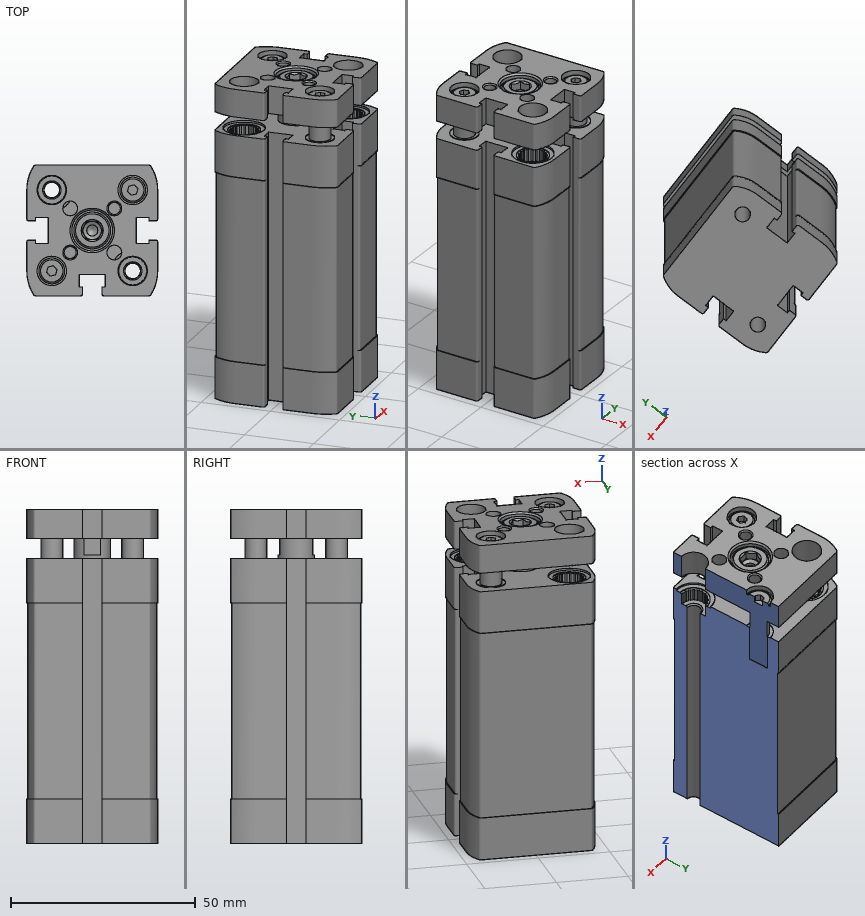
import cadquery as cq
import math

TOTAL_HEIGHT = 90.5
SIDE = 35.5
PLATE_THICKNESS = 8.0
GAP = 5.3
CAP_HEIGHT = 12.0
BARREL_INSET = 0.3

HALF_SIDE = SIDE / 2
PLATE_BOTTOM = TOTAL_HEIGHT - PLATE_THICKNESS
HOUSING_TOP = PLATE_BOTTOM - GAP
BARREL_HEIGHT = HOUSING_TOP - 2 * CAP_HEIGHT

SHOULDER_RADIUS = 11.8
SHOULDER_START = 11.0
CORNER_FILLET = 0.8
SLOT_MOUTH = 5.2
SLOT_WIDTH = 7.0
SLOT_LIP = 2.4
SLOT_DEPTH = 5.8
MOUTH_FILLET = 0.5
SLOT_ANGLES = (180, 270, 360)

CORNER_OFFSET = 10.95
ROD_CORNERS = ((-CORNER_OFFSET, -CORNER_OFFSET), (CORNER_OFFSET, CORNER_OFFSET))
SCREW_CORNERS = ((-CORNER_OFFSET, CORNER_OFFSET), (CORNER_OFFSET, -CORNER_OFFSET))

PISTON_DIAMETER = 10.0
PISTON_FLATS = 9.0
FLATS_START = 1.0
PISTON_CHAMFER = 0.45
PISTON_RECESS_DIAMETER = 11.0
PISTON_RECESS_RIM = 12.0
PISTON_RECESS_DEPTH = 1.5
PISTON_TOP_DEPTH = 0.8
PISTON_SOCKET_RIM = 6.0
PISTON_SOCKET_FLATS = 5.0
PISTON_SOCKET_DEPTH = 2.5
CENTRE_HOLE_DIAMETER = 3.0
CENTRE_HOLE_DEPTH = 4.0
DRILL_POINT_ANGLE = 118.0
HEX_SIDES = 6

GUIDE_DIAMETER = 6.0
ROD_INSERTION = CAP_HEIGHT
SCREW_RECESS_DIAMETER = 8.0
SCREW_RECESS_DEPTH = 1.5
SCREW_HEAD_DIAMETER = 7.0
SCREW_HEAD_HEIGHT = 0.6
SCREW_HEAD_CHAMFER = 0.45
SCREW_SOCKET_FLATS = 2.5
SCREW_SOCKET_DEPTH = 2.0
SCREW_SOCKET_TURN = 15.0
WIPER_DIAMETER = 8.0
WIPER_DEPTH = 0.2

ACCESS_DIAMETER = 8.0
PIN_OFFSET = 6.0
PIN_HOLES = ((-PIN_OFFSET, PIN_OFFSET), (PIN_OFFSET, -PIN_OFFSET))
THREADED_HOLES = ((-PIN_OFFSET, -PIN_OFFSET), (PIN_OFFSET, PIN_OFFSET))
PIN_DIAMETER = 4.0
THREAD_DIAMETER = 3.3

SEAT_DIAMETER = 11.5
SEAT_DEPTH = 0.5
STEP_DIAMETER = 9.0
STEP_DEPTH = 0.2
COUNTERBORE_DIAMETER = 7.5
COUNTERBORE_DEPTH = 4.5
FLUTE_DIAMETER = 0.45
FLUTE_COUNT = 20
MOUNT_RIM = 5.0
MOUNT_DIAMETER = 4.2


def cylinder(diameter, bottom, top, x=0.0, y=0.0):
    """Vertical cylinder between two heights."""
    return cq.Workplane("XY", origin=(x, y, bottom)).circle(diameter / 2).extrude(top - bottom)


def cone(bottom_diameter, top_diameter, bottom, top, x=0.0, y=0.0):
    """Vertical frustum between two heights."""
    return cq.Workplane(cq.Solid.makeCone(
        bottom_diameter / 2, top_diameter / 2, top - bottom, pnt=cq.Vector(x, y, bottom)))


def countersink(rim, bore, top, x=0.0, y=0.0):
    """45-degree cutter that opens a bore to a wider rim."""
    return cone(bore, rim, top - (rim - bore) / 2, top, x, y)


def hex_socket(flats, bottom, top, x=0.0, y=0.0, turn=0.0):
    """Hexagonal cutter given across its flats, with corners on X before turning."""
    return (
        cq.Workplane("XY", origin=(x, y, bottom))
        .transformed(rotate=(0, 0, turn))
        .polygon(HEX_SIDES, flats / math.cos(math.pi / HEX_SIDES))
        .extrude(top - bottom)
    )


def slot_cutter(bottom, height):
    """T-slot in the +X side."""
    inner_x = HALF_SIDE - SLOT_DEPTH
    lip_x = HALF_SIDE - SLOT_LIP
    channel = cq.Workplane("XY").box(lip_x - inner_x, SLOT_WIDTH, height, centered=(False, True, False))
    mouth = cq.Workplane("XY").box(SLOT_DEPTH, SLOT_MOUTH, height, centered=(False, True, False))
    return channel.union(mouth).translate((inner_x, 0, bottom))


def section_prism(inset, bottom, height):
    """Slotted prism with shouldered corners; inset moves its outer surface inward."""
    half = HALF_SIDE - inset
    radius = SHOULDER_RADIUS - inset
    arc_centre_x = HALF_SIDE - SHOULDER_RADIUS
    rise = half - SHOULDER_START
    corner_x = arc_centre_x + math.sqrt(radius**2 - rise**2)
    mid_angle = math.asin(rise / radius) / 2
    mid_x = arc_centre_x + radius * math.cos(mid_angle)
    mid_y = SHOULDER_START + radius * math.sin(mid_angle)

    prism = (
        cq.Workplane("XY", origin=(0, 0, bottom))
        .moveTo(-corner_x, -half)
        .lineTo(corner_x, -half)
        .threePointArc((mid_x, -mid_y), (half, -SHOULDER_START))
        .lineTo(half, SHOULDER_START)
        .threePointArc((mid_x, mid_y), (corner_x, half))
        .lineTo(-corner_x, half)
        .threePointArc((-mid_x, mid_y), (-half, SHOULDER_START))
        .lineTo(-half, -SHOULDER_START)
        .threePointArc((-mid_x, -mid_y), (-corner_x, -half))
        .close()
        .extrude(height)
        .edges("|Z and (<Y or >Y)")
        .fillet(CORNER_FILLET)
    )
    for angle in SLOT_ANGLES:
        prism = prism.cut(slot_cutter(bottom, height).rotate((0, 0, 0), (0, 0, 1), angle))
    side_mouths = prism.edges("|Z").edges(
        cq.selectors.BoxSelector((-SIDE, -SLOT_MOUTH, bottom), (SIDE, SLOT_MOUTH, bottom + height)))
    prism = side_mouths.edges("<X or >X").fillet(MOUTH_FILLET)
    front_mouth = prism.edges("|Z").edges(
        cq.selectors.BoxSelector((-SLOT_MOUTH, -SIDE, bottom), (SLOT_MOUTH, 0, bottom + height)))
    return front_mouth.edges("<Y").fillet(MOUTH_FILLET)


def mounting_hole_cutter(x, y):
    """Stepped hole through the full height of the housing, with a fluted counterbore."""
    seat_floor = HOUSING_TOP - SEAT_DEPTH
    step_floor = seat_floor - STEP_DEPTH
    counterbore_floor = HOUSING_TOP - COUNTERBORE_DEPTH
    flutes = (
        cq.Workplane("XY", origin=(x, y, counterbore_floor))
        .polarArray(COUNTERBORE_DIAMETER / 2, 0, 360, FLUTE_COUNT)
        .circle(FLUTE_DIAMETER / 2)
        .extrude(step_floor - counterbore_floor)
    )
    return (
        cylinder(MOUNT_DIAMETER, 0, HOUSING_TOP, x, y)
        .union(countersink(MOUNT_RIM, MOUNT_DIAMETER, counterbore_floor, x, y))
        .union(cylinder(COUNTERBORE_DIAMETER, counterbore_floor, HOUSING_TOP, x, y))
        .union(flutes)
        .union(cylinder(STEP_DIAMETER, step_floor, HOUSING_TOP, x, y))
        .union(cylinder(SEAT_DIAMETER, seat_floor, HOUSING_TOP, x, y))
    )


def make_housing():
    """Barrel between two end caps, bored for the piston rod and guide rods."""
    housing = (
        section_prism(0, 0, CAP_HEIGHT)
        .union(section_prism(BARREL_INSET, CAP_HEIGHT, BARREL_HEIGHT))
        .union(section_prism(0, CAP_HEIGHT + BARREL_HEIGHT, CAP_HEIGHT))
    )
    bore_bottom = HOUSING_TOP - ROD_INSERTION
    housing = housing.cut(cylinder(PISTON_DIAMETER, bore_bottom, HOUSING_TOP))
    for x, y in ROD_CORNERS:
        housing = housing.cut(cylinder(GUIDE_DIAMETER, bore_bottom, HOUSING_TOP, x, y))
        housing = housing.cut(cylinder(WIPER_DIAMETER, HOUSING_TOP - WIPER_DEPTH, HOUSING_TOP, x, y))
    for x, y in SCREW_CORNERS:
        housing = housing.cut(mounting_hole_cutter(x, y))
    return housing


def make_piston_rod():
    """Rod with two wrench flats, a chamfered end and a centre hole."""
    top = TOTAL_HEIGHT - PISTON_TOP_DEPTH
    flats_bottom = HOUSING_TOP + FLATS_START
    rod = cylinder(PISTON_DIAMETER, HOUSING_TOP - ROD_INSERTION, top).faces(">Z").chamfer(PISTON_CHAMFER)
    flats_cutter = (
        cq.Workplane("XY", origin=(0, 0, flats_bottom))
        .rect(PISTON_DIAMETER * 2, PISTON_DIAMETER * 2)
        .extrude(PLATE_BOTTOM - flats_bottom)
    )
    flats_core = (
        cq.Workplane("XY", origin=(0, 0, flats_bottom))
        .rect(PISTON_DIAMETER * 2, PISTON_FLATS)
        .extrude(PLATE_BOTTOM - flats_bottom)
    )
    rod = rod.cut(flats_cutter.cut(flats_core))

    point_slope = math.tan(math.radians(DRILL_POINT_ANGLE / 2))
    socket_floor = top - PISTON_SOCKET_DEPTH
    sink_bottom = socket_floor - (PISTON_SOCKET_FLATS - CENTRE_HOLE_DIAMETER) / 2 / point_slope
    hole_bottom = top - CENTRE_HOLE_DEPTH
    tip = hole_bottom - CENTRE_HOLE_DIAMETER / 2 / point_slope
    return (
        rod.cut(countersink(PISTON_SOCKET_RIM, PISTON_SOCKET_FLATS, top))
        .cut(hex_socket(PISTON_SOCKET_FLATS, socket_floor, top))
        .cut(cone(CENTRE_HOLE_DIAMETER, PISTON_SOCKET_FLATS, sink_bottom, socket_floor))
        .cut(cylinder(CENTRE_HOLE_DIAMETER, hole_bottom, sink_bottom))
        .cut(cone(0, CENTRE_HOLE_DIAMETER, tip, hole_bottom))
    )


def make_guide_rod(x, y):
    """Guide rod topped by the chamfered head of its socket screw."""
    head_bottom = TOTAL_HEIGHT - SCREW_RECESS_DEPTH
    head_top = head_bottom + SCREW_HEAD_HEIGHT
    head = cylinder(SCREW_HEAD_DIAMETER, head_bottom, head_top, x, y).faces(">Z").chamfer(SCREW_HEAD_CHAMFER)
    rod = cylinder(GUIDE_DIAMETER, HOUSING_TOP - ROD_INSERTION, head_bottom, x, y)
    socket_floor = head_top - SCREW_SOCKET_DEPTH
    return rod.union(head).cut(
        hex_socket(SCREW_SOCKET_FLATS, socket_floor, head_top, x, y, SCREW_SOCKET_TURN))


def make_carriage():
    """Front plate joined to the piston rod and the two guide rods."""
    plate = section_prism(0, PLATE_BOTTOM, PLATE_THICKNESS)
    plate = plate.cut(cylinder(PISTON_RECESS_DIAMETER, TOTAL_HEIGHT - PISTON_RECESS_DEPTH, TOTAL_HEIGHT))
    plate = plate.cut(countersink(PISTON_RECESS_RIM, PISTON_RECESS_DIAMETER, TOTAL_HEIGHT))
    plate = plate.cut(cylinder(PISTON_DIAMETER, PLATE_BOTTOM, TOTAL_HEIGHT))
    for x, y in SCREW_CORNERS:
        plate = plate.cut(cylinder(ACCESS_DIAMETER, PLATE_BOTTOM, TOTAL_HEIGHT, x, y))
    for x, y in PIN_HOLES:
        plate = plate.cut(cylinder(PIN_DIAMETER, PLATE_BOTTOM, TOTAL_HEIGHT, x, y))
    for x, y in THREADED_HOLES:
        plate = plate.cut(cylinder(THREAD_DIAMETER, PLATE_BOTTOM, TOTAL_HEIGHT, x, y))
        plate = plate.cut(countersink(PIN_DIAMETER, THREAD_DIAMETER, TOTAL_HEIGHT, x, y))

    for x, y in ROD_CORNERS:
        plate = plate.cut(
            cylinder(SCREW_RECESS_DIAMETER, TOTAL_HEIGHT - SCREW_RECESS_DEPTH, TOTAL_HEIGHT, x, y))
        plate = plate.cut(cylinder(GUIDE_DIAMETER, PLATE_BOTTOM, TOTAL_HEIGHT, x, y))
    carriage = plate.union(make_piston_rod())
    for x, y in ROD_CORNERS:
        carriage = carriage.union(make_guide_rod(x, y))
    return carriage


housing = make_housing()
carriage = make_carriage()
result = cq.Compound.makeCompound([housing.solids().val(), carriage.solids().val()])